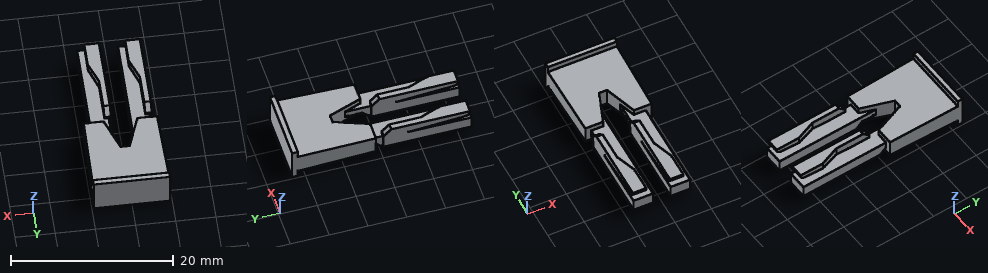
import cadquery as cq

length = 23.33
cap_width = 9.52
cap_height = 4.57
cap_thickness = 0.72

housing_end_from_cap = 10.85
housing_root_width = cap_width
housing_end_width = 9.15
housing_root_height = 2.75
housing_end_height = 2.47

notch_floor_from_cap = 6.49
notch_floor_width = 1.07
notch_mouth_width = 4.2

prong_pitch = 5.09
prong_left = -4.05
prong_width = 2.7
prong_bottom = -1.38
blade_top = 0.4
blade_start_from_cap = 12.0

neck_inset = 0.28
neck_root_from_cap = 7.93
neck_bottom = -0.55
neck_slope = neck_bottom - prong_bottom

tongue_top = 1.65
tongue_bevel = 0.98
tongue_root_width = 0.82
tongue_tip_width = 1.85
tongue_widening_start_from_cap = 17.0
tongue_widening_end_from_cap = 19.78
slit_start_from_cap = 15.16
tongue_tip_from_cap = 23.15
tongue_tip_thickness = 0.7
tongue_tip_radius = 0.65

back = length / 2
cap_front = back - cap_thickness
housing_end = back - housing_end_from_cap
notch_floor = back - notch_floor_from_cap
neck_root = back - neck_root_from_cap
blade_start = back - blade_start_from_cap
prong_tip = back - length
slit_start = back - slit_start_from_cap
tongue_tip = back - tongue_tip_from_cap
widening_start = back - tongue_widening_start_from_cap
widening_end = back - tongue_widening_end_from_cap


def side_extrusion(points, left, width):
    """Extrude a (Y, Z) outline towards +X from the given left side."""
    return cq.Workplane("YZ").workplane(offset=left).polyline(points).close().extrude(width)


def make_cap():
    return cq.Workplane("XY").box(cap_width, cap_thickness, cap_height).translate(
        (0, back - cap_thickness / 2, 0)
    )


def make_housing():
    taper = (
        cq.Workplane("XZ", origin=(0, cap_front, 0))
        .rect(housing_root_width, housing_root_height)
        .workplane(offset=cap_front - housing_end)
        .rect(housing_end_width, housing_end_height)
        .loft(ruled=True)
    )
    notch = (
        cq.Workplane("XY")
        .polyline([
            (-notch_floor_width / 2, notch_floor),
            (notch_floor_width / 2, notch_floor),
            (notch_mouth_width / 2, housing_end),
            (-notch_mouth_width / 2, housing_end),
        ])
        .close()
        .extrude(cap_height, both=True)
    )
    return taper.cut(notch)


def make_neck(left):
    outline = [
        (neck_root, blade_top),
        (blade_start, blade_top),
        (blade_start, prong_bottom),
        (housing_end - neck_slope, prong_bottom),
        (housing_end, neck_bottom),
        (neck_root, neck_bottom),
    ]
    return side_extrusion(outline, left + neck_inset, prong_width - neck_inset)


def make_blade(left):
    outline = [
        (blade_start, prong_bottom),
        (blade_start, blade_top),
        (prong_tip, blade_top),
        (prong_tip, prong_bottom),
    ]
    return side_extrusion(outline, left, prong_width)


def make_tongue(left):
    profile = side_extrusion(
        [
            (blade_start, blade_top),
            (blade_start, tongue_top - tongue_bevel),
            (blade_start - tongue_bevel, tongue_top),
            (tongue_tip, tongue_top),
            (tongue_tip, tongue_top - tongue_tip_thickness),
            (slit_start, blade_top),
        ],
        left,
        tongue_tip_width,
    )
    profile = profile.faces("<Y").edges("<Z").fillet(tongue_tip_radius)

    plan = (
        cq.Workplane("XY", origin=(left, 0, blade_top))
        .polyline([
            (0, blade_start),
            (tongue_root_width, blade_start),
            (tongue_root_width, widening_start),
            (tongue_tip_width, widening_end),
            (tongue_tip_width, tongue_tip),
            (0, tongue_tip),
        ])
        .close()
        .extrude(tongue_top - blade_top)
    )
    return profile.intersect(plan)


result = make_cap().union(make_housing())
for left_side in (prong_left, prong_left + prong_pitch):
    prong = make_neck(left_side).union(make_blade(left_side)).union(make_tongue(left_side))
    result = result.union(prong)